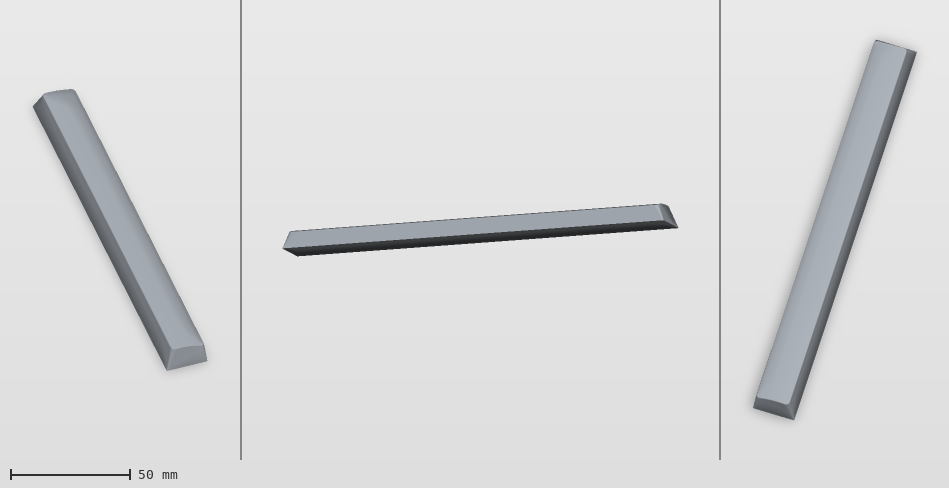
import cadquery as cq
import math

length = 170.5
depth = 18.0
height = 8.9

roof_front_z = 9.9
roof_back_z = 8.2
end_inset = 3.0
front_inset = 3.8
back_inset = 0.3

base_corner_radius = 0.3
roof_corner_radius = 2.0

crown_radius = 30.7
crest_from_back = 11.3
rim_radius = 0.43


def rounded_rectangle(width, breadth, corner_radius):
    """Flat rounded rectangle centred on the origin."""
    return cq.Sketch().rect(width, breadth).vertices().fillet(corner_radius)


def tapered_body():
    """Block with leaning walls between the base and the sloping roof plane."""
    base = rounded_rectangle(length, depth, base_corner_radius)

    roof_run = depth - front_inset - back_inset
    roof_rise = roof_front_z - roof_back_z
    roof_angle = math.degrees(math.atan2(roof_rise, roof_run))
    roof_center = cq.Vector(
        0,
        (front_inset - back_inset) / 2,
        (roof_front_z + roof_back_z) / 2,
    )
    roof_location = cq.Location(roof_center, cq.Vector(1, 0, 0), -roof_angle)
    roof = rounded_rectangle(
        length - 2 * end_inset,
        math.hypot(roof_run, roof_rise),
        roof_corner_radius,
    )
    return cq.Workplane("XY").placeSketch(base, roof.moved(roof_location)).loft(ruled=True)


def crown_cylinder():
    """Cylinder whose upper surface forms the crowned top."""
    return (
        cq.Workplane("YZ")
        .center(depth / 2 - crest_from_back, height - crown_radius)
        .circle(crown_radius)
        .extrude(length / 2, both=True)
    )


crowned_body = tapered_body().intersect(crown_cylinder())
result = crowned_body.faces(">Z").edges().fillet(rim_radius)